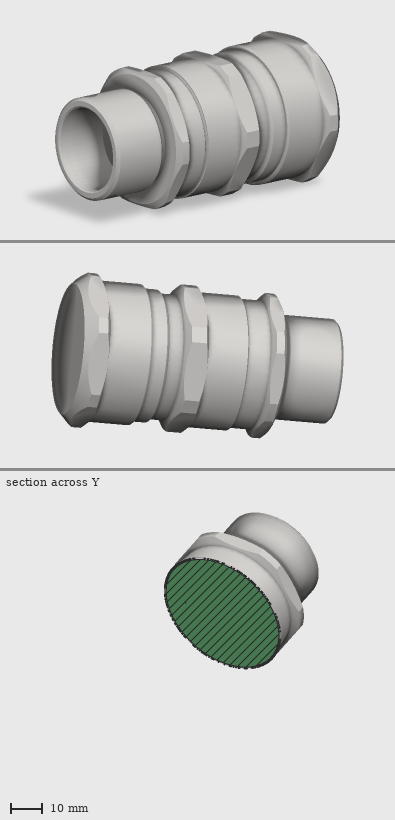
import cadquery as cq
import math

TOTAL_LENGTH = 86.0
HEX_CORNER_CUT = 3.0
CONE_ANGLE = 30.0

SPIGOT_DIAMETER = 33.25
SPIGOT_LENGTH = 17.5
SPIGOT_CHAMFER = 1.0
NECK_DIAMETER = 30.85

BORE_DIAMETER = 27.0
BORE_CHAMFER = 0.5
BORE_DEPTH = 17.5

ENTRY_START = 19.9
ENTRY_END = 25.15
ENTRY_FLATS = 43.0
ENTRY_CORNER_DIAMETER = 46.0
ENTRY_FACE_DIAMETER = 41.8

COLLAR_DIAMETER = 41.0
GROOVE_START = 32.0
GROOVE_WIDTH = 0.65

NUT_BODY_DIAMETER = 42.9
NUT_RIM_BORE = 42.0
NUT_HEX_START = 45.5
NUT_HEX_END = 53.5
NUT_FLATS = 43.0

SLEEVE_DIAMETER = 40.0
SEAL_DIAMETER = 42.3
SEAL_START = 58.0
SEAL_CHAMFER = 1.0

CAP_START = 64.0
CAP_BODY_DIAMETER = 44.9
CAP_CHAMFER = 0.5
CAP_HEX_START = 78.0
CAP_FLATS = 45.0
CAP_FACE_DIAMETER = 41.6
CAP_FACE_ANGLE = 45.0


def revolve_profile(points):
    """Solid of revolution about Y from (radius, y) points."""
    return cq.Workplane("XY").polyline(points).close().revolve(360, (0, 0), (0, 1))


def cylinder(diameter, start, end):
    """Cylinder along Y from y = start to y = end."""
    radius = diameter / 2
    return revolve_profile([(0, start), (radius, start), (radius, end), (0, end)])


def sharp_corner_diameter(flats):
    """Diameter across the uncut corners of a hexagon."""
    return flats / math.cos(math.radians(30))


def hexagon(flats, start, end):
    """Hexagonal prism along Y with two flats facing +Z and -Z."""
    base = cq.Workplane("XZ", origin=(0, start, 0)).polygon(6, sharp_corner_diameter(flats))
    return base.extrude(start - end)


def cut_corner_hexagon(flats, start, end):
    """Hexagonal prism whose six corner edges are cut off flat."""
    return hexagon(flats, start, end).edges("|Y").chamfer(HEX_CORNER_CUT)


def bevel_envelope(start, end, start_diameter, end_diameter, end_angle, rim_diameter):
    """Turned blank whose conical ends bevel a hexagon; angles are from the end face."""
    rim = rim_diameter / 2
    start_rise = (rim - start_diameter / 2) * math.tan(math.radians(CONE_ANGLE))
    end_drop = (rim - end_diameter / 2) * math.tan(math.radians(end_angle))
    return revolve_profile([
        (0, start),
        (start_diameter / 2, start),
        (rim, start + start_rise),
        (rim, end - end_drop),
        (end_diameter / 2, end),
        (0, end),
    ])


def make_spigot():
    radius = SPIGOT_DIAMETER / 2
    neck = NECK_DIAMETER / 2
    runout = radius - neck
    return revolve_profile([
        (0, 0),
        (radius - SPIGOT_CHAMFER, 0),
        (radius, SPIGOT_CHAMFER),
        (radius, SPIGOT_LENGTH),
        (neck, SPIGOT_LENGTH + runout),
        (neck, ENTRY_START),
        (0, ENTRY_START),
    ])


def make_entry_hexagon():
    envelope = bevel_envelope(ENTRY_START, ENTRY_END, ENTRY_FACE_DIAMETER, COLLAR_DIAMETER,
                              CONE_ANGLE, ENTRY_CORNER_DIAMETER)
    return hexagon(ENTRY_FLATS, ENTRY_START, ENTRY_END).intersect(envelope)


def make_collar():
    """Plain collar; above a 90 degree V-groove its flared end rises inside the nut rim."""
    radius = COLLAR_DIAMETER / 2
    groove_depth = GROOVE_WIDTH / 2
    groove_radius = radius - groove_depth
    groove_bottom = GROOVE_START + groove_depth
    flare_radius = NUT_RIM_BORE / 2
    flare_end = groove_bottom + flare_radius - groove_radius
    return revolve_profile([
        (0, ENTRY_END),
        (radius, ENTRY_END),
        (radius, GROOVE_START),
        (groove_radius, groove_bottom),
        (flare_radius, flare_end),
        (0, flare_end),
    ])


def make_middle_nut():
    rim_start = GROOVE_START + GROOVE_WIDTH
    rim_depth = (NUT_RIM_BORE - COLLAR_DIAMETER) / 2
    body = cylinder(NUT_BODY_DIAMETER, rim_start, NUT_HEX_START)
    body = body.cut(cylinder(NUT_RIM_BORE, rim_start, rim_start + rim_depth))
    envelope = bevel_envelope(NUT_HEX_START, NUT_HEX_END, NUT_BODY_DIAMETER, SLEEVE_DIAMETER,
                              CONE_ANGLE, sharp_corner_diameter(NUT_FLATS))
    nut = cut_corner_hexagon(NUT_FLATS, NUT_HEX_START, NUT_HEX_END).intersect(envelope)
    return body.union(nut)


def make_sleeve():
    sleeve = SLEEVE_DIAMETER / 2
    seal = SEAL_DIAMETER / 2
    return revolve_profile([
        (0, NUT_HEX_END),
        (sleeve, NUT_HEX_END),
        (sleeve, SEAL_START),
        (seal, SEAL_START + SEAL_CHAMFER),
        (seal, CAP_START),
        (0, CAP_START),
    ])


def make_cap():
    radius = CAP_BODY_DIAMETER / 2
    body = revolve_profile([
        (0, CAP_START),
        (radius - CAP_CHAMFER, CAP_START),
        (radius, CAP_START + CAP_CHAMFER),
        (radius, CAP_HEX_START),
        (0, CAP_HEX_START),
    ])
    envelope = bevel_envelope(CAP_HEX_START, TOTAL_LENGTH, CAP_BODY_DIAMETER, CAP_FACE_DIAMETER,
                              CAP_FACE_ANGLE, sharp_corner_diameter(CAP_FLATS))
    head = cut_corner_hexagon(CAP_FLATS, CAP_HEX_START, TOTAL_LENGTH).intersect(envelope)
    return body.union(head)


def make_bore():
    radius = BORE_DIAMETER / 2
    return revolve_profile([
        (0, 0),
        (radius + BORE_CHAMFER, 0),
        (radius, BORE_CHAMFER),
        (radius, BORE_DEPTH),
        (0, BORE_DEPTH),
    ])


result = make_spigot()
for make_section in (make_entry_hexagon, make_collar, make_middle_nut, make_sleeve, make_cap):
    result = result.union(make_section())
result = result.cut(make_bore())